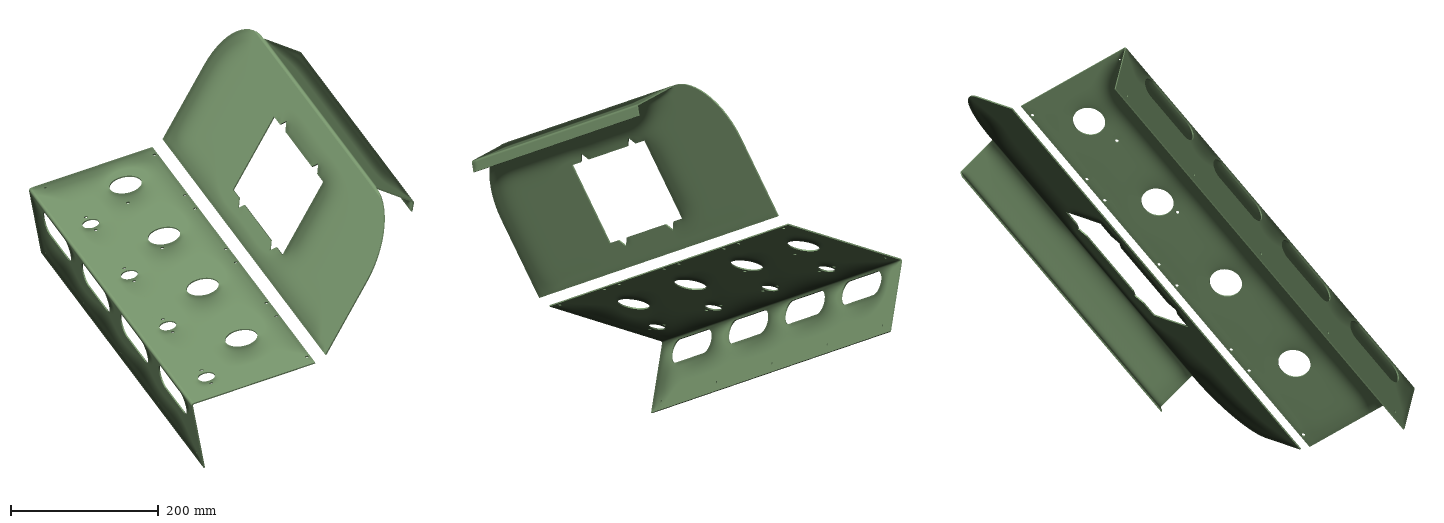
import cadquery as cq
import math

WIDTH = 650.0
SHEET = 2.0
BEND_INNER = 2.0
BEND_OUTER = BEND_INNER + SHEET

DECK_TILT = 10.0
DECK_DEPTH = 181.0
APRON_HEIGHT = 103.5

STATION_PITCH = 154.0
STATION_COUNT = 4
DIAL_DIAMETER = 44.0
DIAL_FIRST_X = -256.0
DIAL_Y = 116.5
SWITCH_DIAMETER = 23.5
SWITCH_FIRST_X = -190.5
SWITCH_Y = 41.5
SWITCH_SCREW_OFFSET = 19.5
SCREW_DIAMETER = 5.1
EXTRA_SCREW_XS = (-210.5, -74.0)
EXTRA_SCREW_Y = 103.5

EDGE_HOLE_DIAMETER = 4.8
EDGE_HOLE_BAYS = 4
EDGE_HOLE_OFFSET = 61.0
EDGE_HOLE_INSET = 4.5

PILOT_DIAMETER = 3.2
PILOT_X = -313.0
PILOT_Y = 20.0

SLOT_LENGTH = 108.5
SLOT_HEIGHT = 34.0
SLOT_FIRST_X = -223.0
SLOT_DROP = 23.5
APRON_HOLE_PITCH = 151.0
APRON_HOLE_COUNT = 5
APRON_HOLE_INSET = 12.5

PANEL_LEAN = 30.0
PANEL_Y = 300.0
PANEL_Z = 227.5
PANEL_HEIGHT = 216.0
PANEL_CORNER = 97.5
HOOD_WIDTH = 449.0
HOOD_DEPTH = 65.0
LIP_LENGTH = 15.5
LIP_TURN = 70.0

WINDOW_WIDTH = 197.5
WINDOW_HEIGHT = 117.5
WINDOW_DROP = 117.5
NOTCH_X = 64.0
NOTCH_DEPTH = 11.0


def evenly_spaced(first, pitch, count):
    """Positions in a row, starting at first."""
    return [first + pitch * i for i in range(count)]


def folded_sheet(outer, inner, bends):
    """Extrude a folded strip in X from its (Y, Z) outlines and round its bends.

    outer and inner list the corners of the two faces from end to end.
    bends counts the corners between the ends; each gets concentric radii.
    """
    sheet = (
        cq.Workplane("YZ")
        .polyline(outer + inner[::-1])
        .close()
        .extrude(WIDTH / 2, both=True)
    )
    for i in range(1, bends + 1):
        for corners, radius in ((outer, BEND_OUTER), (inner, BEND_INNER)):
            y, z = corners[i]
            edge = cq.selectors.NearestToPointSelector((0, y, z))
            sheet = sheet.edges("|X").edges(edge).fillet(radius)
    return sheet


def deck_holes(points, diameter):
    """Cutters through the deck at (X, Y) points."""
    return (
        cq.Workplane("XY").pushPoints(points).circle(diameter / 2).extrude(SHEET, both=True)
    )


def apron_cutters():
    """Finger slots and a row of small holes, cut through the apron."""
    slot_points = [(x, -SLOT_DROP) for x in evenly_spaced(SLOT_FIRST_X, STATION_PITCH, STATION_COUNT)]
    row_start = -APRON_HOLE_PITCH * (APRON_HOLE_COUNT - 1) / 2
    row_z = APRON_HOLE_INSET - APRON_HEIGHT
    hole_points = [(x, row_z) for x in evenly_spaced(row_start, APRON_HOLE_PITCH, APRON_HOLE_COUNT)]
    slots = (
        cq.Workplane("XZ").pushPoints(slot_points)
        .slot2D(SLOT_LENGTH, SLOT_HEIGHT).extrude(SHEET, both=True)
    )
    holes = (
        cq.Workplane("XZ").pushPoints(hole_points)
        .circle(PILOT_DIAMETER / 2).extrude(SHEET, both=True)
    )
    return slots, holes


def make_control_deck():
    """Deck and apron folded at a right angle; the sharp bend corner is the origin."""
    outer = [(DECK_DEPTH, 0), (0, 0), (0, -APRON_HEIGHT)]
    inner = [(DECK_DEPTH, -SHEET), (SHEET, -SHEET), (SHEET, -APRON_HEIGHT)]
    deck = folded_sheet(outer, inner, 1)

    dials = [(x, DIAL_Y) for x in evenly_spaced(DIAL_FIRST_X, STATION_PITCH, STATION_COUNT)]
    switches = [(x, SWITCH_Y) for x in evenly_spaced(SWITCH_FIRST_X, STATION_PITCH, STATION_COUNT)]
    screws = [(x + side * SWITCH_SCREW_OFFSET, y) for x, y in switches for side in (-1, 1)]
    screws += [(x, EXTRA_SCREW_Y) for x in EXTRA_SCREW_XS]

    bay = WIDTH / EDGE_HOLE_BAYS
    bay_centres = evenly_spaced((bay - WIDTH) / 2, bay, EDGE_HOLE_BAYS)
    edge_y = DECK_DEPTH - EDGE_HOLE_INSET
    edge_holes = [(x + side * EDGE_HOLE_OFFSET, edge_y) for x in bay_centres for side in (-1, 1)]

    for points, diameter in (
        (dials, DIAL_DIAMETER),
        (switches, SWITCH_DIAMETER),
        (screws, SCREW_DIAMETER),
        (edge_holes, EDGE_HOLE_DIAMETER),
        ([(PILOT_X, PILOT_Y)], PILOT_DIAMETER),
    ):
        deck = deck.cut(deck_holes(points, diameter))
    for cutter in apron_cutters():
        deck = deck.cut(cutter)
    return deck.rotate((0, 0, 0), (1, 0, 0), DECK_TILT)


def panel_outline():
    """Panel face with rounded upper corners, thick enough to span the hood and lip."""
    half = WIDTH / 2
    arc_rise = PANEL_CORNER * math.sin(math.radians(45))
    arc_x = half - PANEL_CORNER + arc_rise
    arc_z = arc_rise - PANEL_CORNER
    return (
        cq.Workplane("XZ")
        .moveTo(-half, -PANEL_HEIGHT)
        .lineTo(-half, -PANEL_CORNER)
        .threePointArc((-arc_x, arc_z), (PANEL_CORNER - half, 0))
        .lineTo(half - PANEL_CORNER, 0)
        .threePointArc((arc_x, arc_z), (half, -PANEL_CORNER))
        .lineTo(half, -PANEL_HEIGHT)
        .close()
        .extrude(-2 * HOOD_DEPTH)
    )


def window_cutter():
    """Rectangular window with four V notches in its long edges."""
    window = (
        cq.Workplane("XZ").center(0, -WINDOW_DROP)
        .rect(WINDOW_WIDTH, WINDOW_HEIGHT).extrude(SHEET, both=True)
    )
    notch_side = NOTCH_DEPTH * math.sqrt(2)
    for x in (-NOTCH_X, NOTCH_X):
        for z in (-WINDOW_HEIGHT / 2, WINDOW_HEIGHT / 2):
            notch = (
                cq.Workplane("XZ").center(x, z - WINDOW_DROP).transformed(rotate=(0, 0, 45))
                .rect(notch_side, notch_side).extrude(SHEET, both=True)
            )
            window = window.union(notch)
    return window


def make_display_panel():
    """Panel with a hood folded back from its top and a lip folded down from the hood."""
    turn = math.radians(LIP_TURN)
    lip_y = LIP_LENGTH * math.cos(turn)
    lip_z = -LIP_LENGTH * math.sin(turn)
    inset_y = SHEET * math.sin(turn)
    inset_z = SHEET * math.cos(turn)
    miter = SHEET * math.tan(turn / 2)
    outer = [(0, -PANEL_HEIGHT), (0, 0), (HOOD_DEPTH, 0), (HOOD_DEPTH + lip_y, lip_z)]
    inner = [
        (SHEET, -PANEL_HEIGHT),
        (SHEET, -SHEET),
        (HOOD_DEPTH - miter, -SHEET),
        (HOOD_DEPTH + lip_y - inset_y, lip_z - inset_z),
    ]
    panel = folded_sheet(outer, inner, 2).intersect(panel_outline())

    side = (WIDTH - HOOD_WIDTH) / 2
    for x in (-HOOD_WIDTH / 2 - side, HOOD_WIDTH / 2):
        trim = cq.Workplane("XY").box(side, 2 * HOOD_DEPTH, PANEL_HEIGHT, centered=False)
        panel = panel.cut(trim.translate((x, SHEET, -PANEL_HEIGHT)))

    panel = panel.cut(window_cutter())
    return panel.rotate((0, 0, 0), (1, 0, 0), -PANEL_LEAN).translate((0, PANEL_Y, PANEL_Z))


control_deck = make_control_deck()
display_panel = make_display_panel()
result = cq.Compound.makeCompound([control_deck.val(), display_panel.val()])